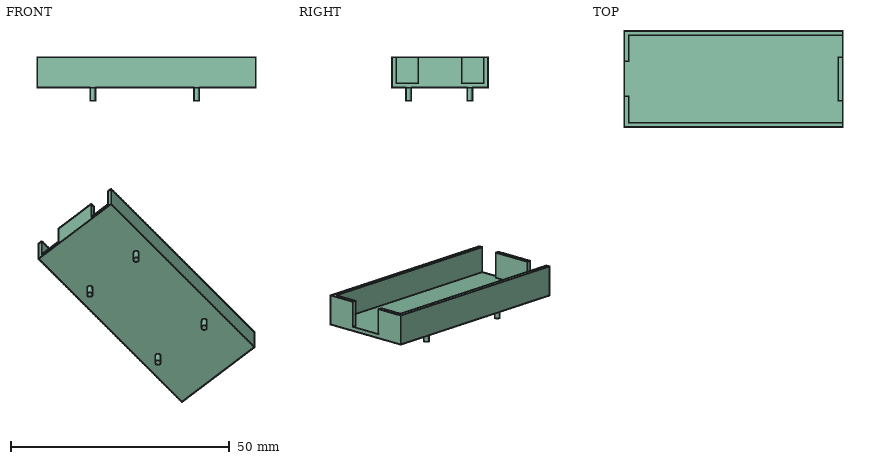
import cadquery as cq

length = 50.0
width = 22.0
tray_height = 7.0
wall = 1.0
floor_thickness = 1.0
cavity_depth = tray_height - floor_thickness
min_x = -length / 2
max_x = length / 2

notch_width = 8.0
tab_width = 10.0

pin_diameter = 1.25
pin_length = 3.0
pin_x_positions = (-12.27, 11.48)
pin_y_positions = (-7.2, 6.83)


def make_box(size_x, size_y, size_z, start_x, start_z):
    """Box centred on Y, starting at the given X and Z."""
    box = cq.Workplane("XY").box(size_x, size_y, size_z, centered=(False, True, False))
    return box.translate((start_x, 0, start_z))


def make_tray():
    """Floor with two side walls and a -X end wall, open at +X."""
    body = make_box(length, width, tray_height, min_x, 0)
    cavity = make_box(length - wall, width - 2 * wall, cavity_depth, min_x + wall, floor_thickness)
    return body.cut(cavity)


def make_notch():
    """Opening through the -X end wall, down to the floor."""
    return make_box(wall, notch_width, cavity_depth, min_x, floor_thickness)


def make_tab():
    """Upright stop in the middle of the +X end, flush with the floor's edge."""
    return make_box(wall, tab_width, tray_height, max_x - wall, 0)


def make_pins():
    """Four pins hanging below the floor."""
    pin_centers = [(x, y) for x in pin_x_positions for y in pin_y_positions]
    return (
        cq.Workplane("XY")
        .pushPoints(pin_centers)
        .circle(pin_diameter / 2)
        .extrude(-pin_length)
    )


result = make_tray().cut(make_notch()).union(make_tab()).union(make_pins())